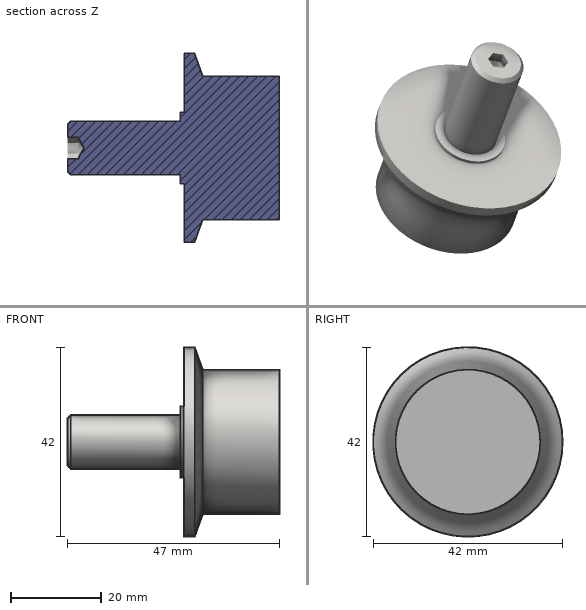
import cadquery as cq
import math

overall_length = 47.0

stud_diameter = 12.0
stud_length = 25.0
tip_chamfer = 0.8

collar_diameter = 15.9
collar_thickness = 0.8

flange_diameter = 42.0
flange_thickness = 2.4

roller_diameter = 32.0
roller_length = 17.0

socket_across_flats = 4.0
socket_depth = 2.5
drill_point_angle = 120.0

flange_front = stud_length + collar_thickness
flange_back = flange_front + flange_thickness
stud_radius = stud_diameter / 2
collar_radius = collar_diameter / 2
flange_radius = flange_diameter / 2
roller_radius = roller_diameter / 2
roller_start = overall_length - roller_length


def turned_body():
    """Stud, collar, flange and roller as one revolved profile."""
    profile = [
        (0, 0),
        (0, stud_radius - tip_chamfer),
        (tip_chamfer, stud_radius),
        (stud_length, stud_radius),
        (stud_length, collar_radius),
        (flange_front, collar_radius),
        (flange_front, flange_radius),
        (flange_back, flange_radius),
        (roller_start, roller_radius),
        (overall_length, roller_radius),
        (overall_length, 0),
    ]
    return (
        cq.Workplane("XY")
        .polyline(profile)
        .close()
        .revolve(360, (0, 0, 0), (1, 0, 0))
    )


def hex_socket():
    """Hexagonal prism with two corners on the Y axis."""
    hex_sides = 6
    across_corners = socket_across_flats / math.cos(math.pi / hex_sides)
    return cq.Workplane("YZ").polygon(hex_sides, across_corners).extrude(socket_depth)


def drill_point():
    """Cone below the socket floor, as wide as the socket flats."""
    drill_radius = socket_across_flats / 2
    cone_height = drill_radius / math.tan(math.radians(drill_point_angle / 2))
    return (
        cq.Workplane("XY")
        .moveTo(socket_depth, 0)
        .lineTo(socket_depth, drill_radius)
        .lineTo(socket_depth + cone_height, 0)
        .close()
        .revolve(360, (0, 0, 0), (1, 0, 0))
    )


result = turned_body().cut(hex_socket()).cut(drill_point())